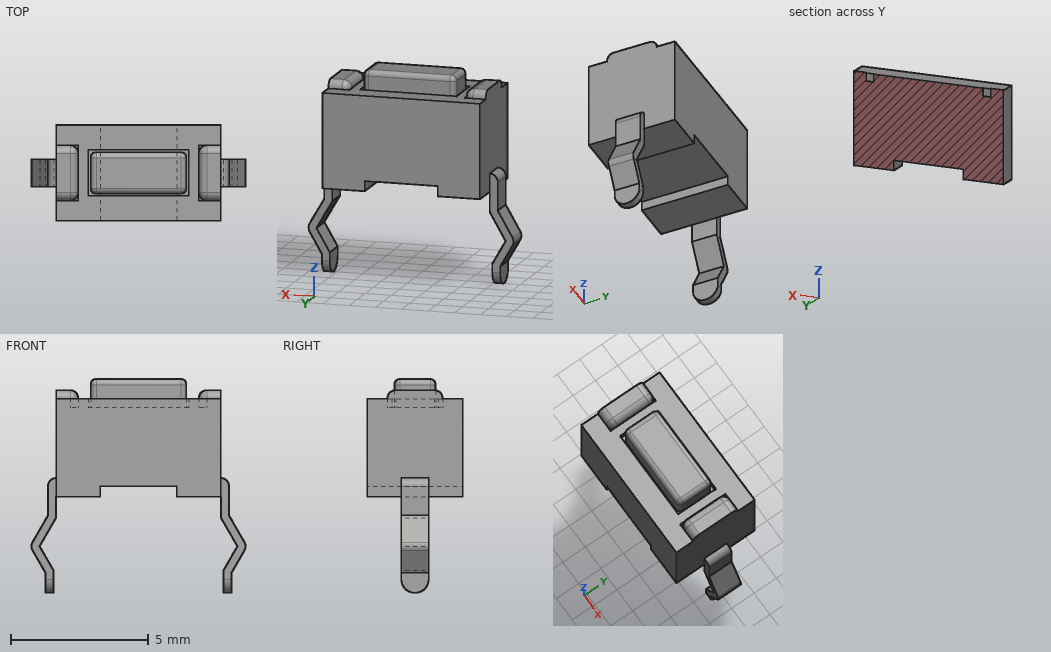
import cadquery as cq
import math

body_length = 6.0
body_width = 3.5
body_height = 3.27
notch_length = 2.78
notch_height = 0.38

plate_thickness = 0.305

button_length = 3.5
button_width = 1.51
button_top = 4.295
button_radius = 0.2
window_gap = 0.085

tab_length = 0.805
tab_width = 2.015
tab_height = 0.62
tab_radius = 0.3

overall_length = 7.81
leg_thickness = 0.305
leg_width = 1.01
leg_tip_z = -3.51
bend_angle = math.radians(30)
elbow_z = -1.805
tail_inner_x = 3.09


def centred_box(length, width, height, x, z):
    """Box centred on (x, 0) with its underside at z."""
    box = cq.Workplane("XY").box(length, width, height, centered=(True, True, False))
    return box.translate((x, 0, z))


def make_housing():
    housing = centred_box(body_length, body_width, body_height, 0, 0)
    return housing.cut(centred_box(notch_length, body_width, notch_height, 0, 0))


def make_plate():
    """Cover plate with the button window and one open-ended cutout per tab."""
    plate = centred_box(body_length, body_width, plate_thickness, 0, body_height)
    window = centred_box(
        button_length + 2 * window_gap, button_width + 2 * window_gap, plate_thickness, 0, body_height
    )
    plate = plate.cut(window)
    for side in (-1, 1):
        cutout_x = side * (body_length - tab_length) / 2
        plate = plate.cut(centred_box(tab_length, tab_width, plate_thickness, cutout_x, body_height))
    return plate


def make_button():
    button = centred_box(button_length, button_width, button_top - body_height, 0, body_height)
    return button.edges("|Z or >Z").fillet(button_radius)


def make_right_tab():
    """Tab flush with the +X end face, rounded on its three other sides."""
    tab_x = (body_length - tab_length) / 2
    tab = centred_box(tab_length, tab_width, tab_height, tab_x, body_height)
    inner_uprights = tab.edges("|Z and <X")
    top_sides = tab.faces(">Z").edges("not >X")
    return tab.newObject(inner_uprights.vals() + top_sides.vals()).fillet(tab_radius)


def make_right_leg():
    """Constant-thickness strip on the +X face, bent out, back in, then straight down."""
    inner_x = body_length / 2
    outer_x = inner_x + leg_thickness
    tail_outer_x = tail_inner_x + leg_thickness
    elbow_inner_x = overall_length / 2 - leg_thickness

    upper_bend_z = elbow_z + (elbow_inner_x - inner_x) / math.tan(bend_angle)
    lower_bend_z = elbow_z - (elbow_inner_x - tail_inner_x) / math.tan(bend_angle)
    mitre_shift = leg_thickness * math.tan(bend_angle / 2)

    arc_x = elbow_inner_x + leg_thickness * math.cos(bend_angle)
    arc_half_height = leg_thickness * math.sin(bend_angle)

    shoulder_z = notch_height
    shoulder_reach = leg_thickness * math.sqrt(0.5)

    strip = (
        cq.Workplane("XZ")
        .moveTo(inner_x, shoulder_z + leg_thickness)
        .threePointArc((inner_x + shoulder_reach, shoulder_z + shoulder_reach), (outer_x, shoulder_z))
        .lineTo(outer_x, upper_bend_z + mitre_shift)
        .lineTo(arc_x, elbow_z + arc_half_height)
        .threePointArc((overall_length / 2, elbow_z), (arc_x, elbow_z - arc_half_height))
        .lineTo(tail_outer_x, lower_bend_z - mitre_shift)
        .lineTo(tail_outer_x, leg_tip_z)
        .lineTo(tail_inner_x, leg_tip_z)
        .lineTo(tail_inner_x, lower_bend_z)
        .lineTo(elbow_inner_x, elbow_z)
        .lineTo(inner_x, upper_bend_z)
        .close()
        .extrude(leg_width / 2, both=True)
    )

    tip_radius = leg_width / 2
    tip_centre_z = leg_tip_z + tip_radius
    rounded_face = (
        cq.Workplane("YZ")
        .moveTo(-tip_radius, shoulder_z + leg_thickness)
        .lineTo(-tip_radius, tip_centre_z)
        .threePointArc((0, leg_tip_z), (tip_radius, tip_centre_z))
        .lineTo(tip_radius, shoulder_z + leg_thickness)
        .close()
        .extrude(overall_length)
    )
    return strip.intersect(rounded_face)


result = make_housing().union(make_plate()).union(make_button())
for right_part in (make_right_tab(), make_right_leg()):
    result = result.union(right_part).union(right_part.mirror("YZ"))